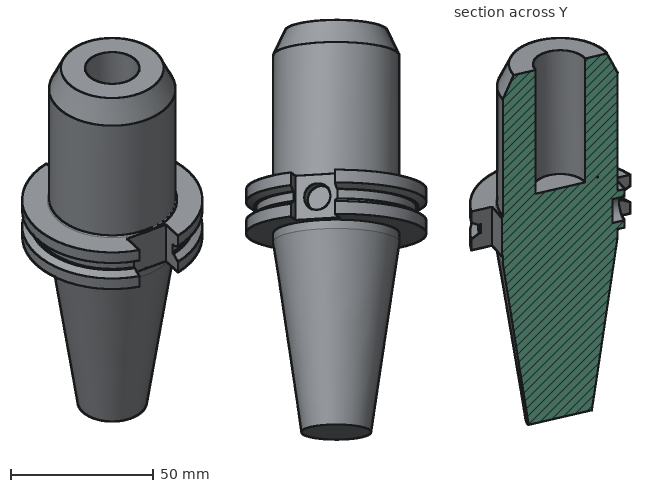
import cadquery as cq
import math

total_height = 144.5
taper_height = 68.3
collar_height = 3.2
flange_height = 15.9
nose_height = 9.0
flange_bottom = taper_height + collar_height
flange_top = flange_bottom + flange_height
flange_middle = flange_bottom + flange_height / 2
nose_bottom = total_height - nose_height

body_radius = 22.2
taper_ratio = 7 / 24
taper_end_radius = body_radius - taper_height * taper_ratio / 2
nose_end_radius = 18.0
flange_diameter = 63.4
flange_radius = flange_diameter / 2
body_foot_fillet = 0.6

channel_width = 3.5
channel_radius = 28.2
groove_wall_radius = 28.9
groove_wall_angle = 30.0
groove_wall_height = (flange_radius - groove_wall_radius) * math.tan(math.radians(groove_wall_angle))

slot_width = 16.0
left_slot_floor = 24.8
right_slot_floor = 22.7

bore_diameter = 19.0
bore_depth = 50.5
slot_hole_diameter = 9.5
slot_hole_depth = 4.6


def turned_blank():
    """Taper, collar, flange, body and nose as one revolved outline."""
    outline = (
        cq.Workplane("XZ")
        .lineTo(taper_end_radius, 0)
        .lineTo(body_radius, taper_height)
        .lineTo(body_radius, flange_bottom)
        .lineTo(flange_radius, flange_bottom)
        .lineTo(flange_radius, flange_top)
        .lineTo(body_radius + body_foot_fillet, flange_top)
        .radiusArc((body_radius, flange_top + body_foot_fillet), body_foot_fillet)
        .lineTo(body_radius, nose_bottom)
        .lineTo(nose_end_radius, total_height)
        .lineTo(0, total_height)
        .close()
    )
    return outline.revolve(360, (0, 0, 0), (0, 1, 0))


def gripper_groove():
    """Ring to remove from the flange rim."""
    half_channel = channel_width / 2
    half_mouth = half_channel + groove_wall_height
    profile = (
        cq.Workplane("XZ", origin=(0, 0, flange_middle))
        .moveTo(flange_radius, half_mouth)
        .lineTo(groove_wall_radius, half_channel)
        .lineTo(channel_radius, half_channel)
        .lineTo(channel_radius, -half_channel)
        .lineTo(groove_wall_radius, -half_channel)
        .lineTo(flange_radius, -half_mouth)
        .close()
    )
    return profile.revolve(360, (0, 0, 0), (0, 1, 0))


def drive_slot(side, floor_distance):
    """Slot through the full flange height, on the -X (side = -1) or +X (side = 1) side."""
    slot_length = flange_radius - floor_distance
    slot_centre = side * (floor_distance + slot_length / 2)
    return cq.Workplane("XY", origin=(slot_centre, 0, flange_middle)).box(
        slot_length, slot_width, flange_height
    )


def tool_bore():
    """Blind bore down from the nose face."""
    top_plane = cq.Workplane("XY", origin=(0, 0, total_height))
    return top_plane.circle(bore_diameter / 2).extrude(-bore_depth)


def slot_hole():
    """Blind radial hole in the floor of the -X slot."""
    slot_floor_plane = cq.Workplane("YZ", origin=(-left_slot_floor, 0, flange_middle))
    return slot_floor_plane.circle(slot_hole_diameter / 2).extrude(slot_hole_depth)


result = (
    turned_blank()
    .cut(gripper_groove())
    .cut(drive_slot(-1, left_slot_floor))
    .cut(drive_slot(1, right_slot_floor))
    .cut(tool_bore())
    .cut(slot_hole())
)